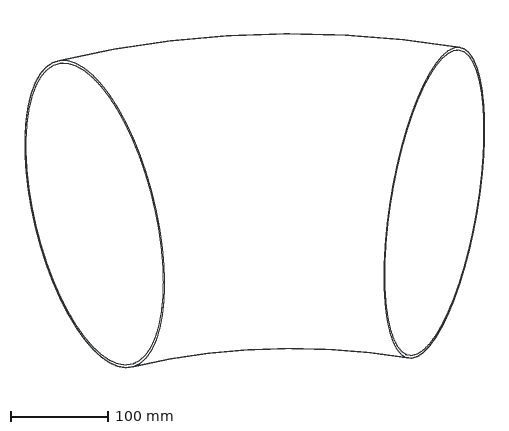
import cadquery as cq
import math

overall_length = 437.5
outer_diameter = 324.0
wall_thickness = 3.0
bend_angle = 45.0

outer_radius = outer_diameter / 2
inner_radius = outer_radius - wall_thickness
bend_radius = overall_length / math.sin(math.radians(bend_angle)) - outer_radius


def pipe_elbow():
    """Pipe ring centred on the origin, swept from the XZ plane toward +Y and +X."""
    pipe_ring = cq.Workplane("XZ").circle(outer_radius).circle(inner_radius)
    bend_axis_start = (bend_radius, 0)
    bend_axis_end = (bend_radius, -1)
    return pipe_ring.revolve(bend_angle, bend_axis_start, bend_axis_end)


result = pipe_elbow()